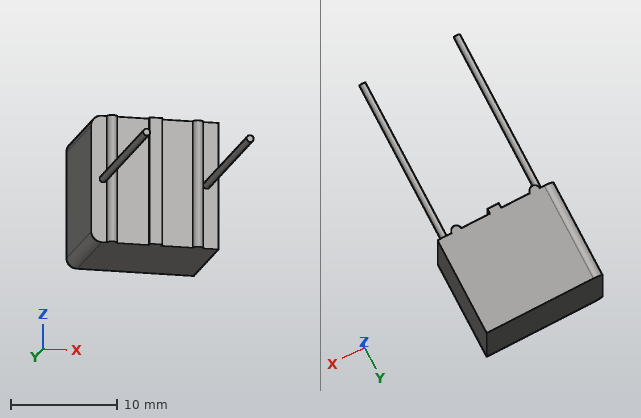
import cadquery as cq

housing_width = 12.3
housing_height = 12.3
housing_depth = 10.0
side_edge_radius = 1.0

rib_projection = 0.5
centre_rib_width = 1.2
round_rib_width = 1.02
round_rib_spacing = 8.3

lead_diameter = 0.67
lead_length = 17.5
lead_pitch = 10.0

sides = (-1, 1)


def make_block():
    """Block with the two long edges of its -X side rounded."""
    block = cq.Workplane("XY").box(
        housing_width, housing_depth, housing_height, centered=(True, False, True)
    )
    return block.edges("|Y and <X").fillet(side_edge_radius)


def make_centre_rib():
    """Rectangular rib in the middle of the front face."""
    rib = cq.Workplane("XY").box(
        centre_rib_width, rib_projection, housing_height, centered=(True, False, True)
    )
    return rib.translate((0, -rib_projection, 0))


def make_round_rib(x):
    """Rib with a circular-arc section, its flat back on the front face."""
    half_width = round_rib_width / 2
    return (
        cq.Workplane("XY", origin=(x, 0, 0))
        .moveTo(-half_width, 0)
        .threePointArc((0, -rib_projection), (half_width, 0))
        .close()
        .extrude(housing_height / 2, both=True)
    )


def make_housing():
    """Block and its three ribs as one solid."""
    housing = make_block().union(make_centre_rib())
    for side in sides:
        housing = housing.union(make_round_rib(side * round_rib_spacing / 2))
    return housing


def make_lead(x):
    """Straight wire standing out from the front face toward -Y."""
    return (
        cq.Workplane("XZ", origin=(x, 0, 0))
        .circle(lead_diameter / 2)
        .extrude(lead_length)
    )


housing = make_housing()
leads = [make_lead(side * lead_pitch / 2) for side in sides]

result = cq.Compound.makeCompound([housing.val(), *[lead.val() for lead in leads]])